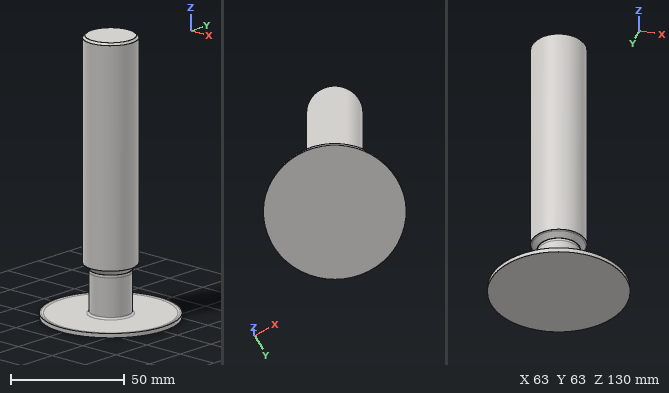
import cadquery as cq

foot_diameter = 63.0
rim_height = 2.1
rim_inner_diameter = 61.4
floor_diameter = 59.3
floor_height = 1.8
stem_diameter = 19.2
stem_fillet = 0.9
stem_chamfer_height = 1.3
stem_top_diameter = 19.0

total_height = 130.0
handle_diameter = 25.0
handle_bottom = 22.2
handle_top_chamfer = 1.0
taper_height = 2.3
taper_bottom_diameter = 19.2
taper_top_diameter = 23.7
shoulder_height = 0.4


def revolve_around_z(profile):
    """Turn a closed XZ outline into a solid around the Z axis."""
    return profile.close().revolve(360, (0, 0, 0), (0, 1, 0))


def make_foot():
    stem_radius = stem_diameter / 2
    profile = (
        cq.Workplane("XZ")
        .lineTo(foot_diameter / 2, 0)
        .lineTo(foot_diameter / 2, rim_height)
        .lineTo(rim_inner_diameter / 2, rim_height)
        .lineTo(floor_diameter / 2, floor_height)
        .lineTo(stem_radius + stem_fillet, floor_height)
        .radiusArc((stem_radius, floor_height + stem_fillet), stem_fillet)
        .lineTo(stem_radius, handle_bottom - stem_chamfer_height)
        .lineTo(stem_top_diameter / 2, handle_bottom)
        .lineTo(0, handle_bottom)
    )
    return revolve_around_z(profile)


def make_handle():
    radius = handle_diameter / 2
    taper_top = handle_bottom + taper_height
    profile = (
        cq.Workplane("XZ")
        .moveTo(0, handle_bottom)
        .lineTo(taper_bottom_diameter / 2, handle_bottom)
        .lineTo(taper_top_diameter / 2, taper_top)
        .lineTo(radius, taper_top + shoulder_height)
        .lineTo(radius, total_height - handle_top_chamfer)
        .lineTo(radius - handle_top_chamfer, total_height)
        .lineTo(0, total_height)
    )
    return revolve_around_z(profile)


foot = make_foot()
handle = make_handle()
result = cq.Compound.makeCompound([foot.val(), handle.val()])